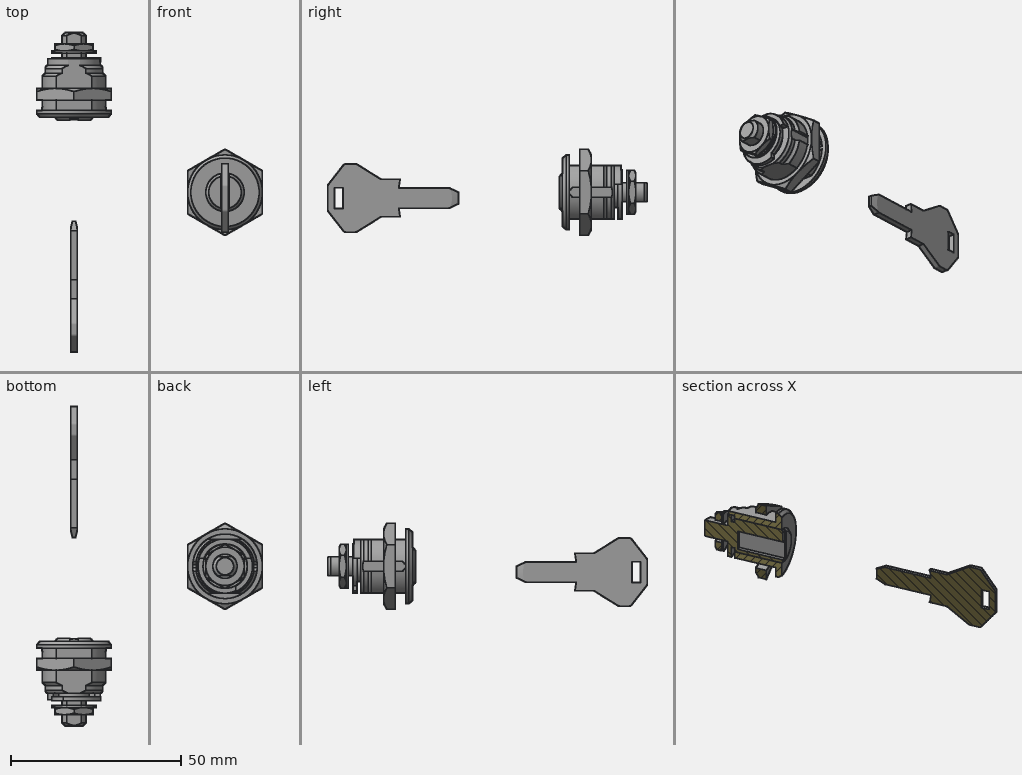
import cadquery as cq
import math

OVERALL_LENGTH = 94.0
STUD_REAR = 22.9

FLANGE_RADIUS = 11.0
FLANGE_FACE_RADIUS = 10.1
FLANGE_RIM = 0.9
FLANGE_THICKNESS = 2.1
BODY_RADIUS = 9.5
STEP_RADIUS = 8.65
STOP_RADIUS = 8.1
BODY_END = 10.1
STEP_START = 11.0
STEP_END = 12.3
HOUSING_REAR = 13.3
FLAT_HEIGHT = 7.9
GROOVE_FLOOR = 8.5
GROOVE_HALF_WIDTH = 1.5
GROOVE_POINT_LENGTH = 1.0
GROOVE_TIP_HALF_WIDTH = 0.5
STOP_REAR = 15.2
STOP_EDGE = 2.35

KEY_END = STUD_REAR - OVERALL_LENGTH
KEY_LENGTH = 38.55
KEY_Z = -1.7
KEY_THICKNESS = 2.0
BLADE_HALF_HEIGHT = 3.0
BLADE_TIP_HALF_HEIGHT = 1.7
BLADE_TIP_LENGTH = 2.8
SHOULDER_HALF_HEIGHT = 5.55
SHOULDER_FROM_END = 21.3
SHOULDER_UNDERCUT = 0.4
BOW_START_FROM_END = 15.7
BOW_PEAK_START_FROM_END = 8.5
BOW_PEAK_END_FROM_END = 4.9
BOW_HALF_HEIGHT = 10.1
BOW_END_HALF_HEIGHT = 3.8
BOW_CORNER_RADIUS = 1.0
KEY_HOLE_FROM_END = 2.1
KEY_HOLE_LENGTH = 2.4
KEY_HOLE_HEIGHT = 2 * BLADE_HALF_HEIGHT
TIP_BEVEL_LENGTH = 2.0
TIP_BEVEL_RADIUS = 7.05
TIP_EDGE_THICKNESS = 0.9
MARGIN = 0.9

PLUG_RADIUS = 5.6
PLUG_FACE_RADIUS = 4.8
PLUG_PROUD = 0.8
NECK_RADIUS = 4.5
CAM_RADIUS = 6.6
CAM_FRONT = 14.3
CAM_REAR = 15.5
LOBE_RADIUS = 7.9
LOBE_EDGE = 3.2
STUD_RADIUS = 3.6
STUD_FLAT_HEIGHT = 2.8
STUD_TIP_RADIUS = 2.5
STUD_TIP_LENGTH = 0.9
NOTCH_WIDTH = 2.4
NOTCH_HALF_HEIGHT = 5.1
NOTCH_DEPTH = 0.5
KEYWAY_CLEARANCE = 0.1
KEYWAY_WIDTH = KEY_THICKNESS + KEYWAY_CLEARANCE
KEYWAY_TOP = 1.5
KEYWAY_BOTTOM = KEYWAY_TOP - 2 * BLADE_HALF_HEIGHT
KEYWAY_END = 12.2

MOUNTING_NUT_FLATS = 2 * FLANGE_RADIUS
MOUNTING_NUT_FRONT = 3.0
MOUNTING_NUT_REAR = 6.5
MOUNTING_NUT_BEVEL = 0.9
WASHER_RADIUS = 6.5
WASHER_FRONT = 16.8
WASHER_REAR = 17.5
STUD_NUT_FLATS = 11.3
STUD_NUT_REAR = 19.6
STUD_NUT_BEVEL = 0.5


def turned(profile):
    """Solid of revolution about the Y axis from (radius, y) points."""
    return cq.Workplane("XY").polyline(profile).close().revolve(360, (0, 0, 0), (0, 1, 0))


def rod(radius, front, rear):
    """Cylinder on the lock axis between two Y positions."""
    return turned([(0, front), (radius, front), (radius, rear), (0, rear)])


def block(x_range, y_range, z_range):
    """Box between the given limits."""
    return cq.Workplane("XY").box(
        x_range[1] - x_range[0], y_range[1] - y_range[0], z_range[1] - z_range[0], centered=False
    ).translate((x_range[0], y_range[0], z_range[0]))


def double_d(radius, flat_height, front, rear):
    """Cylinder on the lock axis with flats on its top and bottom."""
    flats = block((-radius, radius), (front, rear), (-flat_height, flat_height))
    return rod(radius, front, rear).intersect(flats)


def make_groove():
    """Cutter for the groove along the -X side, pointed where it meets the flange."""
    outline = [
        (0, -GROOVE_TIP_HALF_WIDTH),
        (GROOVE_POINT_LENGTH, -GROOVE_HALF_WIDTH),
        (HOUSING_REAR, -GROOVE_HALF_WIDTH),
        (HOUSING_REAR, GROOVE_HALF_WIDTH),
        (GROOVE_POINT_LENGTH, GROOVE_HALF_WIDTH),
        (0, GROOVE_TIP_HALF_WIDTH),
    ]
    depth = BODY_RADIUS - GROOVE_FLOOR
    return cq.Workplane("YZ", origin=(-BODY_RADIUS, 0, 0)).polyline(outline).close().extrude(depth)


def make_housing():
    """Flanged, stepped body with flats, side grooves and a rear half-ring that stops the cam."""
    flange = turned([
        (0, -FLANGE_THICKNESS),
        (FLANGE_FACE_RADIUS, -FLANGE_THICKNESS),
        (FLANGE_RADIUS, -FLANGE_RIM),
        (FLANGE_RADIUS, 0),
        (0, 0),
    ])
    body = turned([
        (0, 0),
        (BODY_RADIUS, 0),
        (BODY_RADIUS, BODY_END),
        (STEP_RADIUS, STEP_START),
        (STEP_RADIUS, STEP_END),
        (STOP_RADIUS, HOUSING_REAR),
        (0, HOUSING_REAR),
    ])
    stop = rod(STOP_RADIUS, HOUSING_REAR, STOP_REAR).intersect(
        block((-STOP_RADIUS, STOP_RADIUS), (HOUSING_REAR, STOP_REAR), (STOP_EDGE, STOP_RADIUS))
    )
    flats = block((-BODY_RADIUS, BODY_RADIUS), (0, STOP_REAR), (-FLAT_HEIGHT, FLAT_HEIGHT))
    body = body.union(stop).intersect(flats)
    groove = make_groove()
    body = body.cut(groove).cut(groove.mirror("YZ"))
    bore = rod(PLUG_RADIUS, -FLANGE_THICKNESS, HOUSING_REAR)
    cam_recess = rod(CAM_RADIUS, HOUSING_REAR, STOP_REAR)
    return flange.union(body).cut(bore).cut(cam_recess)


def make_plug():
    """Barrel with its cam, flatted stud and key entry; the entry notch ramps into the keyway floor."""
    face = -FLANGE_THICKNESS - PLUG_PROUD
    barrel = turned([
        (0, face),
        (PLUG_FACE_RADIUS, face),
        (PLUG_RADIUS, -FLANGE_THICKNESS),
        (PLUG_RADIUS, HOUSING_REAR),
        (NECK_RADIUS, HOUSING_REAR),
        (NECK_RADIUS, CAM_FRONT),
        (CAM_RADIUS, CAM_FRONT),
        (CAM_RADIUS, CAM_REAR),
        (0, CAM_REAR),
    ])
    lobe = rod(LOBE_RADIUS, CAM_FRONT, CAM_REAR).intersect(
        block((-LOBE_EDGE, LOBE_RADIUS), (CAM_FRONT, CAM_REAR), (-LOBE_RADIUS, STOP_EDGE))
    )
    stud_tip = turned([
        (0, CAM_REAR),
        (STUD_RADIUS, CAM_REAR),
        (STUD_RADIUS, STUD_REAR - STUD_TIP_LENGTH),
        (STUD_TIP_RADIUS, STUD_REAR),
        (0, STUD_REAR),
    ])
    stud = double_d(STUD_RADIUS, STUD_FLAT_HEIGHT, CAM_REAR, STUD_REAR).intersect(stud_tip)
    notch_outline = [
        (face, -NOTCH_HALF_HEIGHT),
        (face, NOTCH_HALF_HEIGHT),
        (face + NOTCH_DEPTH, NOTCH_HALF_HEIGHT),
        (face + NOTCH_DEPTH, KEYWAY_BOTTOM),
    ]
    notch = cq.Workplane("YZ").polyline(notch_outline).close().extrude(NOTCH_WIDTH / 2, both=True)
    keyway = block(
        (-KEYWAY_WIDTH / 2, KEYWAY_WIDTH / 2),
        (face, KEYWAY_END),
        (KEYWAY_BOTTOM, KEYWAY_TOP),
    )
    return barrel.union(lobe).union(stud).cut(notch).cut(keyway)


def corner_radius(across_flats):
    """Distance from the centre of a hexagon to its corners."""
    return across_flats / 2 / math.cos(math.pi / 6)


def bevelled_hexagon(across_flats, front, rear, front_bevel, rear_bevel):
    """Hexagonal prism along Y, flats facing -X and +X, with its corners bevelled by cones.

    A bevel is the length of its cone along Y, and 0 leaves that end square.
    """
    inner = across_flats / 2
    outer = corner_radius(across_flats)
    corners = [
        (outer * math.sin(k * math.pi / 3), outer * math.cos(k * math.pi / 3)) for k in range(6)
    ]
    prism = cq.Workplane("XZ", origin=(0, front, 0)).polyline(corners).close().extrude(front - rear)
    envelope = [(0, front)]
    if front_bevel > 0:
        envelope.append((inner, front))
    envelope.append((outer, front + front_bevel))
    envelope.append((outer, rear - rear_bevel))
    if rear_bevel > 0:
        envelope.append((inner, rear))
    envelope.append((0, rear))
    return prism.intersect(turned(envelope))


def make_mounting_nut():
    blank = bevelled_hexagon(
        MOUNTING_NUT_FLATS, MOUNTING_NUT_FRONT, MOUNTING_NUT_REAR, 0, MOUNTING_NUT_BEVEL
    )
    return blank.cut(rod(BODY_RADIUS, MOUNTING_NUT_FRONT, MOUNTING_NUT_REAR))


def make_washer():
    hole = double_d(STUD_RADIUS, STUD_FLAT_HEIGHT, WASHER_FRONT, WASHER_REAR)
    return rod(WASHER_RADIUS, WASHER_FRONT, WASHER_REAR).cut(hole)


def make_stud_nut():
    blank = bevelled_hexagon(
        STUD_NUT_FLATS, WASHER_REAR, STUD_NUT_REAR, STUD_NUT_BEVEL, STUD_NUT_BEVEL
    )
    return blank.cut(rod(STUD_RADIUS, WASHER_REAR, STUD_NUT_REAR))


def make_tip_cutter():
    """Pair of dished cutters that thin the blade tip from both sides with cone surfaces."""
    centre_y = KEY_LENGTH - TIP_BEVEL_LENGTH - TIP_BEVEL_RADIUS
    side = KEY_THICKNESS / 2
    edge = TIP_EDGE_THICKNESS / 2
    tip_radius = TIP_BEVEL_RADIUS + TIP_BEVEL_LENGTH
    ring = (
        cq.Workplane("XY")
        .polyline([
            (side, centre_y + TIP_BEVEL_RADIUS),
            (edge, centre_y + tip_radius),
            (edge, centre_y + tip_radius + MARGIN),
            (side, centre_y + tip_radius + MARGIN),
        ])
        .close()
        .revolve(360, (0, centre_y, 0), (1, centre_y, 0))
    )
    tip = block((-side, side), (centre_y, KEY_LENGTH), (-BLADE_HALF_HEIGHT, BLADE_HALF_HEIGHT))
    ring = ring.intersect(tip)
    return ring.union(ring.mirror("YZ"))


def make_key():
    """Flat key, drawn with its bow end at y = 0 and then moved to its place."""
    upper = [
        (0, BOW_END_HALF_HEIGHT),
        (BOW_PEAK_END_FROM_END, BOW_HALF_HEIGHT),
        (BOW_PEAK_START_FROM_END, BOW_HALF_HEIGHT),
        (BOW_START_FROM_END, SHOULDER_HALF_HEIGHT),
        (SHOULDER_FROM_END, SHOULDER_HALF_HEIGHT),
        (SHOULDER_FROM_END - SHOULDER_UNDERCUT, BLADE_HALF_HEIGHT),
        (KEY_LENGTH - BLADE_TIP_LENGTH, BLADE_HALF_HEIGHT),
        (KEY_LENGTH, BLADE_TIP_HALF_HEIGHT),
    ]
    lower = [(y, -z) for y, z in reversed(upper)]
    plate = cq.Workplane("YZ").polyline(upper + lower).close().extrude(KEY_THICKNESS / 2, both=True)
    bow_region = cq.selectors.BoxSelector(
        (-KEY_THICKNESS, -MARGIN, -2 * BOW_HALF_HEIGHT),
        (KEY_THICKNESS, BOW_PEAK_START_FROM_END + MARGIN, 2 * BOW_HALF_HEIGHT),
    )
    plate = plate.edges("|X").edges(bow_region).fillet(BOW_CORNER_RADIUS)
    hole = block(
        (-KEY_THICKNESS / 2, KEY_THICKNESS / 2),
        (KEY_HOLE_FROM_END, KEY_HOLE_FROM_END + KEY_HOLE_LENGTH),
        (-KEY_HOLE_HEIGHT / 2, KEY_HOLE_HEIGHT / 2),
    )
    key = plate.cut(hole).cut(make_tip_cutter())
    return key.translate((0, KEY_END, KEY_Z))


housing = make_housing()
plug = make_plug()
mounting_nut = make_mounting_nut()
washer = make_washer()
stud_nut = make_stud_nut()
key = make_key()

result = cq.Compound.makeCompound([
    housing.val(),
    plug.val(),
    mounting_nut.val(),
    washer.val(),
    stud_nut.val(),
    key.val(),
])